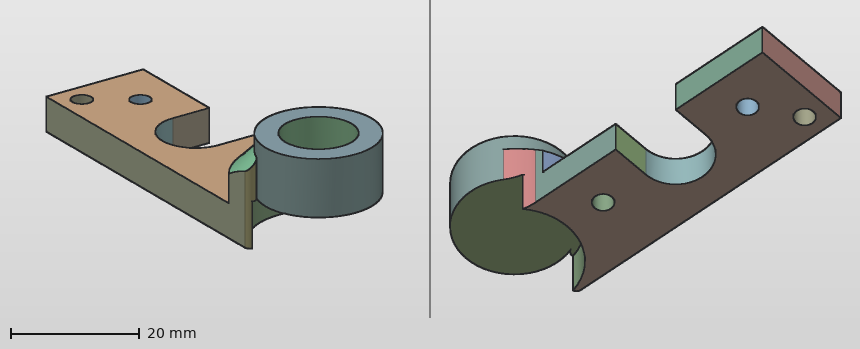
import cadquery as cq
import math

total_length = 67.8
total_height = 18.0

ring_radius = 10.0
ring_height = 10.0
bore_diameter = 12.5
bore_floor = 1.0
ring_x = total_length - ring_radius
ring_bottom = total_height - ring_height

plate_thickness = 6.0
plate_front = -11.4
plate_back = 7.0
hole_diameter = 3.5
hole_centers = [(9.3, 0), (39.3, 0), (4.1, -7.45)]
notch_x = 24.3
notch_width = bore_diameter

collar_radius = 14.0
collar_edge_height = 11.0
collar_top = 15.0
nose_radius = 1.0
blend_radius = 10.05
clearance_radius = 11.0


def cylinder(radius, x, bottom, top):
    return cq.Workplane("XY", origin=(x, 0, bottom)).circle(radius).extrude(top - bottom)


def tangent_center(radius, y):
    """Center, left of the ring axis, of an arc that touches the ring from outside."""
    return ring_x - math.sqrt((ring_radius + radius) ** 2 - y ** 2), y


def point_toward_ring(center, radius):
    """Point where an arc around center touches the ring."""
    share = radius / (radius + ring_radius)
    return center[0] + share * (ring_x - center[0]), center[1] * (1 - share)


def footprint(height):
    """Plate outline with a rounded front nose and a concave back blend against the ring."""
    nose = tangent_center(nose_radius, plate_front + nose_radius)
    blend = tangent_center(blend_radius, plate_back + blend_radius)
    blend_end = point_toward_ring(blend, blend_radius)
    blend_turn = math.atan2(blend_end[1] - blend[1], blend_end[0] - blend[0])
    blend_middle_angle = (blend_turn - math.pi / 2) / 2
    blend_middle = (
        blend[0] + blend_radius * math.cos(blend_middle_angle),
        blend[1] + blend_radius * math.sin(blend_middle_angle),
    )
    return (
        cq.Workplane("XY")
        .moveTo(0, plate_front)
        .lineTo(nose[0], plate_front)
        .threePointArc((nose[0] + nose_radius, nose[1]), point_toward_ring(nose, nose_radius))
        .threePointArc((ring_x - ring_radius, 0), blend_end)
        .threePointArc(blend_middle, (blend[0], plate_back))
        .lineTo(0, plate_back)
        .close()
        .extrude(height)
    )


def make_plate():
    notch = (
        cylinder(notch_width / 2, notch_x, 0, plate_thickness)
        .union(
            cq.Workplane("XY")
            .center(notch_x, plate_back / 2)
            .rect(notch_width, plate_back)
            .extrude(plate_thickness)
        )
    )
    holes = (
        cq.Workplane("XY")
        .pushPoints(hole_centers)
        .circle(hole_diameter / 2)
        .extrude(plate_thickness)
    )
    return footprint(plate_thickness).cut(notch).cut(holes)


def make_collar():
    """Footprint trimmed by a cylinder whose top tapers in to the ring."""
    envelope = (
        cq.Workplane("XZ", origin=(ring_x, 0, 0))
        .polyline([
            (0, 0),
            (collar_radius, 0),
            (collar_radius, collar_edge_height),
            (ring_radius, collar_top),
            (0, collar_top),
        ])
        .close()
        .revolve(360, (0, 0, 0), (0, 1, 0))
    )
    return footprint(collar_top).intersect(envelope)


clearance = cylinder(clearance_radius, ring_x, 0, ring_bottom)
ring = cylinder(ring_radius, ring_x, ring_bottom, total_height)
bore = cylinder(bore_diameter / 2, ring_x, ring_bottom + bore_floor, total_height)

result = make_plate().union(make_collar()).cut(clearance).union(ring).cut(bore)